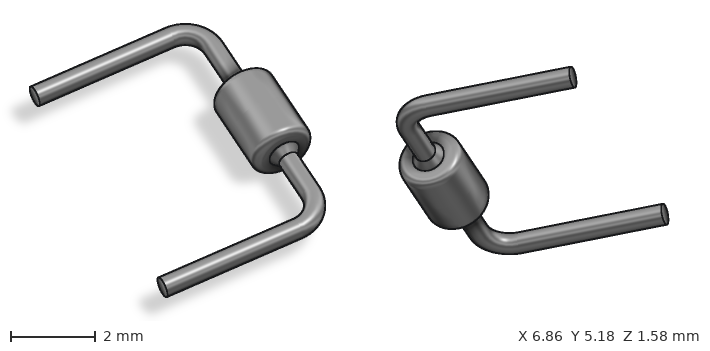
import cadquery as cq

overall_span = 6.86
overall_depth = 5.18
body_diameter = 1.58
body_length = 2.175
body_edge_radius = 0.2
lead_diameter = 0.51
bend_radius = 0.77
collar_diameter = 0.79
collar_length = 0.21

body_radius = body_diameter / 2
lead_radius = lead_diameter / 2
lead_x = overall_span / 2 - lead_radius
lead_tip_y = body_radius - overall_depth


def make_body():
    """Cylinder along X with rounded end edges."""
    return (
        cq.Workplane("YZ")
        .circle(body_radius)
        .extrude(body_length / 2, both=True)
        .edges()
        .fillet(body_edge_radius)
    )


def make_collars():
    """Cones tapering from both body ends down to the lead diameter."""
    base_x = body_length / 2
    tip_x = base_x + collar_length
    profile = [
        (-tip_x, 0),
        (-tip_x, lead_radius),
        (-base_x, collar_diameter / 2),
        (base_x, collar_diameter / 2),
        (tip_x, lead_radius),
        (tip_x, 0),
    ]
    return cq.Workplane("XY").polyline(profile).close().revolve(360, (0, 0, 0), (1, 0, 0))


def make_lead(side):
    """Round wire from the body centre, bent to -Y; side is +1 or -1 along X."""
    bend_start_x = lead_x - bend_radius
    path = (
        cq.Workplane("XY")
        .lineTo(side * bend_start_x, 0)
        .tangentArcPoint((side * lead_x, -bend_radius), relative=False)
        .lineTo(side * lead_x, lead_tip_y)
    )
    return cq.Workplane("YZ").circle(lead_radius).sweep(path)


result = make_body().union(make_collars())
for side in (-1, 1):
    result = result.union(make_lead(side))